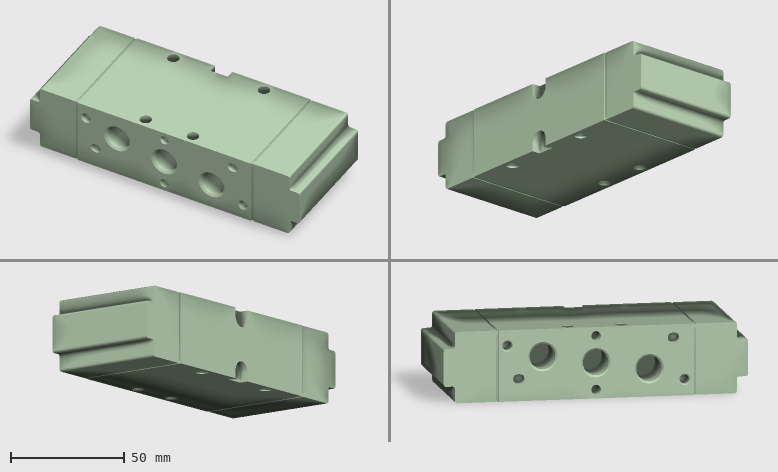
import cadquery as cq

total_length = 137.0
body_depth = 53.0
height = 32.0

body_length = 88.0

groove_width = 1.1
groove_depth = 0.3
cap_depth = 52.3
shoulder_x = 63.4
nose_height = 17.0
cap_corner_radius = 1.1

port_pitch = 24.0
port_drop = 3.5
port_diameter = 11.5
port_mouth_diameter = 13.2
port_depth = 16.5

cross_hole_diameter = 4.2
cross_hole_z = 12.0
recess_width = 8.6
recess_depth = 4.1

mount_diameter = 5.5
mount_row_spacing = 44.0
mount_y = mount_row_spacing / 2
front_mount_x = port_pitch / 2
back_mount_x = 23.0

screw_diameter = 4.1
screw_mouth_diameter = 5.1
screw_depth = 8.2
screw_x = 39.9
screw_z = 8.9
drill_tip_height = 1.2
slot_length = 5.1
slot_height = 4.2
slot_depth = 4.1
slot_x = 34.8
left_slot_z = -6.0
right_slot_z = 10.1

half_length = total_length / 2
half_body = body_length / 2
half_height = height / 2
front_y = -body_depth / 2
back_y = body_depth / 2


def front_plane(x, z):
    """Plane on the front face, with its normal pointing into the body."""
    return cq.Plane(origin=(x, front_y, z), xDir=(1, 0, 0), normal=(0, 1, 0))


def make_body():
    return cq.Workplane("XY").box(body_length, body_depth, height)


def make_neck():
    """Core that joins the body to both caps and forms the groove floors."""
    neck_length = body_length + 2 * groove_width
    return cq.Workplane("XY").box(
        neck_length, cap_depth - 2 * groove_depth, height - 2 * groove_depth
    )


def make_right_cap():
    inner_x = half_body + groove_width
    shoulder_length = shoulder_x - inner_x
    nose_length = half_length - inner_x
    shoulder = cq.Workplane("XY").box(shoulder_length, cap_depth, height)
    shoulder = shoulder.translate((inner_x + shoulder_length / 2, 0, 0))
    nose = cq.Workplane("XY").box(nose_length, cap_depth, nose_height)
    nose = nose.translate((inner_x + nose_length / 2, 0, 0))
    outer_edges = cq.selectors.BoxSelector(
        (shoulder_x - cap_corner_radius, -body_depth, -height),
        (total_length, body_depth, height),
    )
    return shoulder.union(nose).edges("|Y").edges(outer_edges).fillet(cap_corner_radius)


def chamfered_hole(x, z, diameter, mouth_diameter, depth):
    """Cutter for a blind front hole with a 45 degree mouth chamfer."""
    chamfer = (mouth_diameter - diameter) / 2
    bore = cq.Workplane(front_plane(x, z)).circle(diameter / 2).extrude(depth)
    mouth = cq.Solid.makeCone(
        mouth_diameter / 2,
        diameter / 2,
        chamfer,
        cq.Vector(x, front_y, z),
        cq.Vector(0, 1, 0),
    )
    return bore.union(cq.Workplane(mouth))


def make_screw_hole(x, z):
    hole = chamfered_hole(x, z, screw_diameter, screw_mouth_diameter, screw_depth)
    tip = cq.Solid.makeCone(
        screw_diameter / 2,
        0,
        drill_tip_height,
        cq.Vector(x, front_y + screw_depth, z),
        cq.Vector(0, 1, 0),
    )
    return hole.union(cq.Workplane(tip))


def make_nut_recess(side):
    """Round-ended recess at the back, open to the top (1) or bottom (-1)."""
    opening = half_height - cross_hole_z
    plane = cq.Plane(
        origin=(0, back_y - recess_depth, side * cross_hole_z),
        xDir=(1, 0, 0),
        normal=(0, 1, 0),
    )
    recess = cq.Workplane(plane).circle(recess_width / 2).extrude(recess_depth)
    channel = cq.Workplane("XY").box(recess_width, recess_depth, opening)
    channel_z = side * (cross_hole_z + opening / 2)
    channel = channel.translate((0, back_y - recess_depth / 2, channel_z))
    return recess.union(channel)


right_cap = make_right_cap()
result = make_body().union(make_neck()).union(right_cap).union(right_cap.mirror("YZ"))

for step in (-1, 0, 1):
    result = result.cut(
        chamfered_hole(
            step * port_pitch, -step * port_drop, port_diameter, port_mouth_diameter, port_depth
        )
    )

for side in (-1, 1):
    cross_plane = front_plane(0, side * cross_hole_z)
    cross_hole = cq.Workplane(cross_plane).circle(cross_hole_diameter / 2).extrude(body_depth)
    result = result.cut(cross_hole).cut(make_nut_recess(side))
    result = result.cut(make_screw_hole(side * screw_x, -side * screw_z))

mount_points = [
    (-front_mount_x, -mount_y),
    (front_mount_x, -mount_y),
    (-back_mount_x, mount_y),
    (back_mount_x, mount_y),
]
mount_holes = cq.Workplane("XY").pushPoints(mount_points).circle(mount_diameter / 2)
result = result.cut(mount_holes.extrude(half_height, both=True))

for x, z in ((-slot_x, left_slot_z), (slot_x, right_slot_z)):
    slot = cq.Workplane(front_plane(x, z)).slot2D(slot_length, slot_height)
    result = result.cut(slot.extrude(slot_depth))